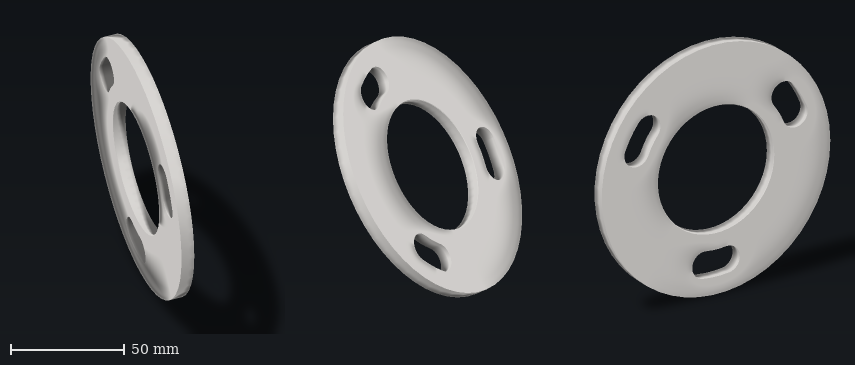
import cadquery as cq
import math

outer_diameter = 120.0
thickness = 6.0
bore_diameter = 60.7
bore_chamfer = 0.25

slot_count = 3
slot_pitch_radius = 45.0
slot_width = 13.0
slot_length = 25.0
first_slot_angle = -90.0
slot_half_angle = math.degrees(math.asin((slot_length - slot_width) / 2 / slot_pitch_radius))


def polar(radius, angle):
    """Point in the ring plane at a radius and an angle in degrees."""
    return (radius * math.cos(math.radians(angle)), radius * math.sin(math.radians(angle)))


def front_plane():
    """XZ plane on the front face, with its normal towards -Y."""
    return cq.Workplane("XZ", origin=(0, -thickness / 2, 0))


def ring_blank():
    """Disc with a through bore, chamfered at both ends."""
    ring = front_plane().circle(outer_diameter / 2).circle(bore_diameter / 2).extrude(-thickness)
    bore_edges = ring.edges(cq.selectors.RadiusNthSelector(0))
    return bore_edges.chamfer(bore_chamfer)


def curved_slot(middle_angle):
    """Through slot following the pitch circle, with round ends."""
    inner_radius = slot_pitch_radius - slot_width / 2
    outer_radius = slot_pitch_radius + slot_width / 2
    start = middle_angle - slot_half_angle
    end = middle_angle + slot_half_angle
    end_x, end_z = polar(slot_pitch_radius, end)
    end_dx, end_dz = polar(slot_width / 2, end + 90)
    start_x, start_z = polar(slot_pitch_radius, start)
    start_dx, start_dz = polar(slot_width / 2, start - 90)
    return (
        front_plane()
        .moveTo(*polar(outer_radius, start))
        .threePointArc(polar(outer_radius, middle_angle), polar(outer_radius, end))
        .threePointArc((end_x + end_dx, end_z + end_dz), polar(inner_radius, end))
        .threePointArc(polar(inner_radius, middle_angle), polar(inner_radius, start))
        .threePointArc((start_x + start_dx, start_z + start_dz), polar(outer_radius, start))
        .close()
        .extrude(-thickness)
    )


result = ring_blank()
for index in range(slot_count):
    result = result.cut(curved_slot(first_slot_angle + index * 360 / slot_count))